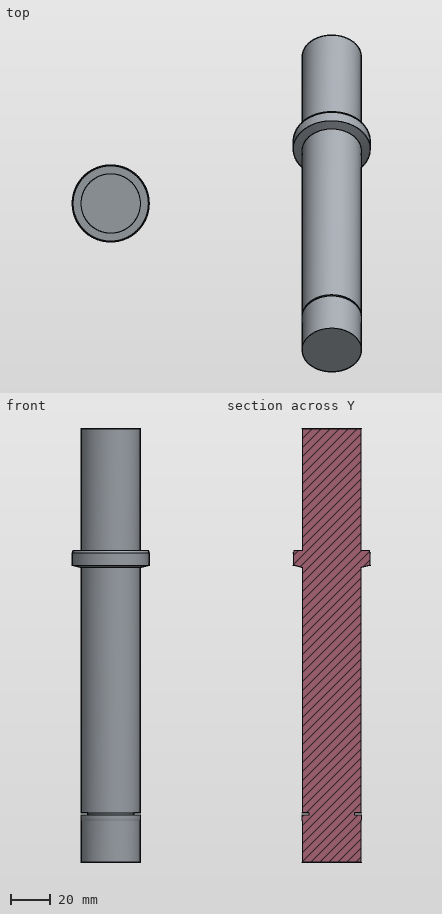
import cadquery as cq

shaft_diameter = 30.0
total_length = 219.0
shaft_radius = shaft_diameter / 2

collar_diameter = 39.0
collar_radius = collar_diameter / 2
collar_rim_bottom = 150.0
collar_rim_height = 7.5
collar_cone_height = 1.2
collar_bevel_width = 0.5
collar_bevel_height = 1.2
collar_bottom = collar_rim_bottom - collar_cone_height
collar_top = collar_rim_bottom + collar_rim_height

band_diameter = 30.3
band_radius = band_diameter / 2
band_bottom = 20.8
band_taper_height = 1.2

groove_diameter = 23.4
groove_bottom = 23.9
groove_width = 1.1


def revolve_ring(outer_points, bottom, top):
    """Solid of revolution about Z; outer_points are (radius, z) from bottom to top."""
    outline = [(0, bottom)] + outer_points + [(0, top)]
    return cq.Workplane("XZ").polyline(outline).close().revolve(360, (0, 0, 0), (0, 1, 0))


def make_shaft():
    return cq.Workplane("XY").circle(shaft_radius).extrude(total_length)


def make_collar():
    outer_points = [
        (shaft_radius, collar_bottom),
        (collar_radius, collar_rim_bottom),
        (collar_radius, collar_top - collar_bevel_height),
        (collar_radius - collar_bevel_width, collar_top),
    ]
    return revolve_ring(outer_points, collar_bottom, collar_top)


def make_band():
    outer_points = [
        (shaft_radius, band_bottom),
        (band_radius, band_bottom + band_taper_height),
        (band_radius, groove_bottom),
    ]
    return revolve_ring(outer_points, band_bottom, groove_bottom)


def make_groove_cutter():
    return (
        cq.Workplane("XY")
        .workplane(offset=groove_bottom)
        .circle(collar_radius)
        .circle(groove_diameter / 2)
        .extrude(groove_width)
    )


result = make_shaft().union(make_collar()).union(make_band()).cut(make_groove_cutter())